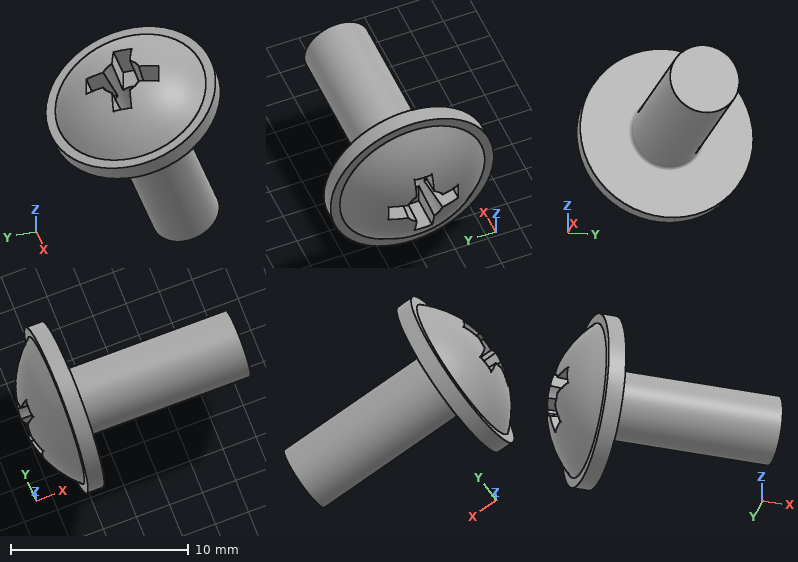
import cadquery as cq
import math

shank_radius = 2.0
shank_length = 10.0
neck_fillet = 0.2
flange_radius = 5.0
flange_thickness = 1.0

dome_base_radius = 4.43
dome_height = 2.05
dome_tip_x = -(flange_thickness + dome_height)
sphere_radius = (dome_base_radius**2 + dome_height**2) / (2 * dome_height)

arm_span = 4.26
arm_width = 1.065
socket_mouth_radius = 1.17
socket_floor_radius = 0.84
arm_floor_radius = 1.0
arm_floor_x = -0.7
point_half_angle = 70.0


def dome_surface_x(radius):
    """X of the dome surface at a distance from the screw axis."""
    return dome_tip_x + sphere_radius - math.sqrt(sphere_radius**2 - radius**2)


def make_body():
    """Revolve the half profile of dome, flange and shank about X."""
    half_radius = dome_base_radius / 2
    profile = (
        cq.Workplane("XY")
        .moveTo(dome_tip_x, 0)
        .threePointArc((dome_surface_x(half_radius), half_radius), (-flange_thickness, dome_base_radius))
        .lineTo(-flange_thickness, flange_radius)
        .lineTo(0, flange_radius)
        .lineTo(0, shank_radius + neck_fillet)
        .radiusArc((neck_fillet, shank_radius), -neck_fillet)
        .lineTo(shank_length, shank_radius)
        .lineTo(shank_length, 0)
        .close()
    )
    return profile.revolve(360, (0, 0, 0), (1, 0, 0))


def make_cross_arms():
    """Two crossing bars running from the dome tip to the arm floor."""
    depth = arm_floor_x - dome_tip_x
    workplane = cq.Workplane("YZ", origin=(dome_tip_x, 0, 0))
    bar_along_y = workplane.rect(arm_span, arm_width).extrude(depth)
    bar_along_z = workplane.rect(arm_width, arm_span).extrude(depth)
    return bar_along_y.union(bar_along_z)


def make_socket():
    """Tapered centre hole ending in a conical point."""
    mouth_x = dome_surface_x(socket_mouth_radius)
    taper = (socket_mouth_radius - arm_floor_radius) / (arm_floor_x - mouth_x)
    tip_radius = socket_mouth_radius + taper * (mouth_x - dome_tip_x)
    floor_x = mouth_x + (socket_mouth_radius - socket_floor_radius) / taper
    point_x = floor_x + socket_floor_radius / math.tan(math.radians(point_half_angle))
    profile = cq.Workplane("XY").polyline(
        [(dome_tip_x, 0), (dome_tip_x, tip_radius), (floor_x, socket_floor_radius), (point_x, 0)]
    ).close()
    return profile.revolve(360, (0, 0, 0), (1, 0, 0))


result = make_body().cut(make_cross_arms()).cut(make_socket())